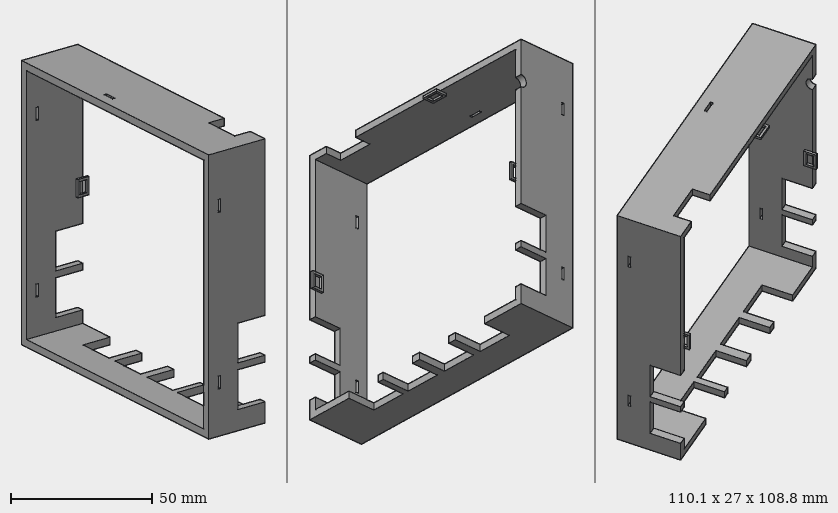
import cadquery as cq

width = 110.1
height = 108.8
total_depth = 27.0
clip_reach = 2.0
depth = total_depth - clip_reach
wall = 3.0

notch_size = 15.2
notch_depth = 12.0
side_notch_bottoms = (8.2, 26.0)
floor_notch_starts = (19.0, 37.7, 56.6, 74.5)
top_notch_start = 86.2
top_notch_depth = 6.9

slot_length = 5.0
slot_thickness = 1.0
slot_front = 4.3
side_slot_offset = 33.8

cable_radius = 2.5
cable_height = 91.7

clip_width = 7.0
clip_length = 5.0
clip_thickness = 1.0
clip_border = 1.0
side_clip_height = 55.5
top_feature_x = 45.5


def box(x_size, y_size, z_size, x, y, z):
    """Box with its lowest corner at (x, y, z)."""
    return cq.Workplane("XY").box(x_size, y_size, z_size, centered=False).translate((x, y, z))


def make_frame():
    outer = box(width, depth, height, 0, 0, 0)
    opening = box(width - 2 * wall, depth, height - 2 * wall, wall, 0, wall)
    return outer.cut(opening)


def cut_notches(body):
    notch_front = depth - notch_depth
    for z in side_notch_bottoms:
        body = body.cut(box(width, notch_depth, notch_size, 0, notch_front, z))
    for x in floor_notch_starts:
        body = body.cut(box(notch_size, notch_depth, wall, x, notch_front, 0))
    top_notch = box(
        notch_size, top_notch_depth, wall,
        top_notch_start, depth - top_notch_depth, height - wall,
    )
    return body.cut(top_notch)


def cut_slots(body):
    for offset in (-side_slot_offset, side_slot_offset):
        z = height / 2 + offset - slot_length / 2
        body = body.cut(box(width, slot_thickness, slot_length, 0, slot_front, z))
    x = top_feature_x - slot_length / 2
    return body.cut(box(slot_length, slot_thickness, wall, x, slot_front, height - wall))


def cut_cable_notch(body):
    cutter = cq.Workplane("YZ").center(depth, cable_height).circle(cable_radius).extrude(wall)
    return body.cut(cutter)


def make_side_clip(x):
    """Upright plate with a rectangular window, its left face at x."""
    y = total_depth - clip_length
    z = side_clip_height - clip_width / 2
    plate = box(clip_thickness, clip_length, clip_width, x, y, z)
    window = box(
        clip_thickness, clip_length - 2 * clip_border, clip_width - 2 * clip_border,
        x, y + clip_border, z + clip_border,
    )
    return plate.cut(window)


def make_top_clip():
    """Level plate with a rectangular window, below the top wall."""
    x = top_feature_x - clip_width / 2
    y = total_depth - clip_length
    z = height - wall - clip_thickness
    plate = box(clip_width, clip_length, clip_thickness, x, y, z)
    window = box(
        clip_width - 2 * clip_border, clip_length - 2 * clip_border, clip_thickness,
        x + clip_border, y + clip_border, z,
    )
    return plate.cut(window)


frame = cut_cable_notch(cut_slots(cut_notches(make_frame())))
left_clip = make_side_clip(wall)
right_clip = make_side_clip(width - wall - clip_thickness)
result = frame.union(left_clip).union(right_clip).union(make_top_clip())